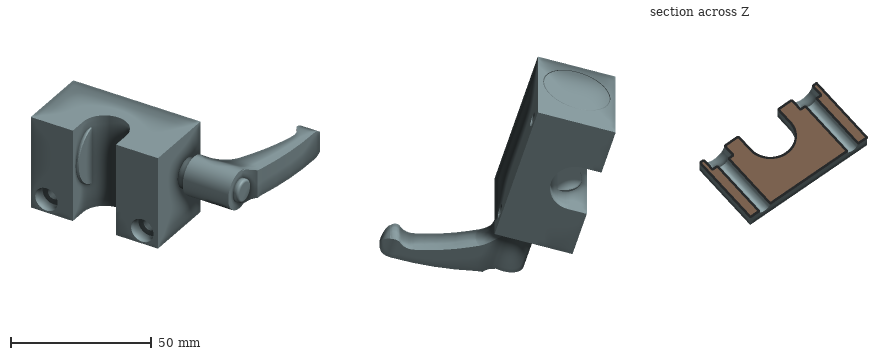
import cadquery as cq
import math

block_length = 53.2
block_depth = 29.0
block_height = 38.0
slot_width = 18.0
slot_depth = 16.0
slot_centre_x = block_length / 2
slot_radius = slot_width / 2

axis_z = 21.9

pad_diameter = 25.0
pad_protrusion = 1.1
pad_chamfer = 0.3
pad_centre_y = block_depth / 2

screw_hole_diameter = 5.0
counterbore_diameter = 9.4
counterbore_depth = 5.0
screw_spacing = 40.05
screw_height = 5.5

lever_axis_y = 19.0
collar_diameter = 11.8
collar_chamfer = 0.3
hub_diameter = 15.4
hub_radius = hub_diameter / 2
hub_start_x = 56.6
hub_end_x = 75.6
hub_top_y = lever_axis_y + hub_radius
button_diameter = 9.05
button_end_x = 77.7
button_rounding = 1.0
handle_width = 11.2
handle_tip_y = 63.5
handle_end_x = 83.1
root_blend_radius = 11.5

envelope_margin = 1.7
envelope_top_y = handle_tip_y + envelope_margin
envelope_end_x = handle_end_x + envelope_margin

underside_start = (61.15, hub_top_y)
root_middle = (66.0, 28.2)
root_end = (69.1, 31.3)
shank_middle = (73.85, 40.95)
neck_start = (77.4, 52.25)
neck_middle = (77.4, 55.0)
neck_end = (75.85, 57.8)
nose_middle = (75.35, 59.2)
nose_end = (75.9, 61.1)

tip_middle = (77.7, 62.6)
tip_top = (80.8, handle_tip_y)
tip_corner = (82.6, 62.65)
outer_top = (handle_end_x, 61.2)
outer_straight_end = (82.9, 57.8)
outer_middle = (81.7, 39.05)
outer_bottom = (79.5, 27.8)
heel = (79.1, 25.6)
heel_blend_middle = (76.6, 23.3)
heel_blend_end = (hub_end_x, 20.9)


def x_cylinder(diameter, start_x, end_x, centre_y):
    """Cylinder parallel to X at the common axis height."""
    return (
        cq.Workplane("YZ", origin=(start_x, centre_y, axis_z))
        .circle(diameter / 2)
        .extrude(end_x - start_x)
    )


def slot_cutter():
    """Open slot with a half-round bottom, running the full block height."""
    straight_end_y = slot_depth - slot_radius
    return (
        cq.Workplane("XY")
        .moveTo(slot_centre_x - slot_radius, 0)
        .lineTo(slot_centre_x - slot_radius, straight_end_y)
        .threePointArc((slot_centre_x, slot_depth), (slot_centre_x + slot_radius, straight_end_y))
        .lineTo(slot_centre_x + slot_radius, 0)
        .close()
        .extrude(block_height)
    )


def screw_hole_cutter(centre_x):
    """Through hole along Y, counterbored from the slotted face."""
    face = cq.Workplane("XZ", origin=(centre_x, 0, screw_height))
    through_hole = face.circle(screw_hole_diameter / 2).extrude(-block_depth)
    counterbore = face.circle(counterbore_diameter / 2).extrude(-counterbore_depth)
    return through_hole.union(counterbore)


def make_block():
    block = cq.Workplane("XY").box(block_length, block_depth, block_height, centered=False)
    block = block.cut(slot_cutter())

    pad_length = slot_centre_x - slot_radius + pad_protrusion
    pad_blank = x_cylinder(pad_diameter, 0, pad_length, pad_centre_y)
    left_pad = pad_blank.faces("<X or >X").chamfer(pad_chamfer)
    right_pad = left_pad.mirror("YZ", (slot_centre_x, 0, 0))
    ring_groove = x_cylinder(pad_diameter, 0, pad_chamfer, pad_centre_y)
    block = block.cut(ring_groove).union(left_pad)
    block = block.union(right_pad)

    for side in (-1, 1):
        block = block.cut(screw_hole_cutter(slot_centre_x + side * screw_spacing / 2))
    return block


def handle_side_plate():
    """Plate in the XY plane with the tip, outer side and heel of the lever."""
    return (
        cq.Workplane("XY", origin=(0, 0, axis_z))
        .moveTo(hub_start_x, lever_axis_y - hub_radius)
        .lineTo(hub_start_x, nose_end[1])
        .lineTo(*nose_end)
        .threePointArc(tip_middle, tip_top)
        .threePointArc(tip_corner, outer_top)
        .lineTo(*outer_straight_end)
        .threePointArc(outer_middle, outer_bottom)
        .lineTo(*heel)
        .threePointArc(heel_blend_middle, heel_blend_end)
        .lineTo(hub_end_x, lever_axis_y - hub_radius)
        .close()
        .extrude(hub_diameter, both=True)
    )


def underside_envelope():
    """Half solid of revolution about the hub axis that crowns the handle underside."""
    return (
        cq.Workplane("XY", origin=(0, 0, axis_z))
        .moveTo(underside_start[0], lever_axis_y)
        .lineTo(*underside_start)
        .threePointArc(root_middle, root_end)
        .threePointArc(shank_middle, neck_start)
        .threePointArc(neck_middle, neck_end)
        .threePointArc(nose_middle, nose_end)
        .lineTo(nose_end[0], envelope_top_y)
        .lineTo(envelope_end_x, envelope_top_y)
        .lineTo(envelope_end_x, lever_axis_y)
        .close()
        .revolve(180, (0, lever_axis_y, 0), (1, lever_axis_y, 0))
        .rotate((0, lever_axis_y, axis_z), (1, lever_axis_y, axis_z), -90)
    )


def handle_cross_section():
    """Parallel-sided handle with a half-round tip and concave blends onto the hub, along X."""
    half_width = handle_width / 2
    tip_height = handle_tip_y - lever_axis_y
    blend_z = half_width + root_blend_radius
    centre_distance = hub_radius + root_blend_radius
    blend_y = math.sqrt(centre_distance**2 - blend_z**2)
    hub_touch_y = blend_y * hub_radius / centre_distance
    hub_touch_z = blend_z * hub_radius / centre_distance
    blend_middle_angle = (math.atan2(blend_z, blend_y) + math.pi / 2) / 2
    blend_middle_y = blend_y - root_blend_radius * math.cos(blend_middle_angle)
    blend_middle_z = blend_z - root_blend_radius * math.sin(blend_middle_angle)
    return (
        cq.Workplane("YZ", origin=(hub_start_x, lever_axis_y, axis_z))
        .moveTo(0, hub_touch_z)
        .lineTo(hub_touch_y, hub_touch_z)
        .threePointArc((blend_middle_y, blend_middle_z), (blend_y, half_width))
        .lineTo(tip_height - half_width, half_width)
        .threePointArc((tip_height, 0), (tip_height - half_width, -half_width))
        .lineTo(blend_y, -half_width)
        .threePointArc((blend_middle_y, -blend_middle_z), (hub_touch_y, -hub_touch_z))
        .lineTo(0, -hub_touch_z)
        .close()
        .extrude(envelope_end_x - hub_start_x)
    )


def make_lever():
    handle = handle_cross_section().intersect(handle_side_plate()).intersect(underside_envelope())
    hub = x_cylinder(hub_diameter, hub_start_x, hub_end_x, lever_axis_y)

    collar = x_cylinder(collar_diameter, block_length, hub_start_x, lever_axis_y)
    collar = collar.faces("<X").chamfer(collar_chamfer)

    button = x_cylinder(button_diameter, hub_end_x, button_end_x, lever_axis_y)
    button = button.faces(">X").edges().fillet(button_rounding)
    return hub.union(handle).union(collar).union(button)


block = make_block()
lever = make_lever()
result = cq.Compound.makeCompound([*block.solids().vals(), *lever.solids().vals()])